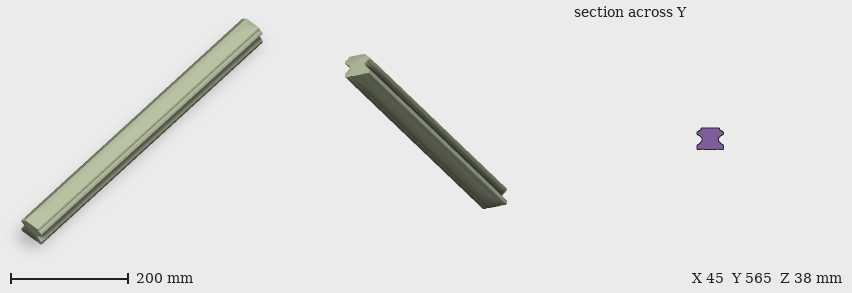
import cadquery as cq
import math

length = 565.0
width = 45.0
height = 38.0
half_width = width / 2

ridge_mid_z = 28.0
ridge_tip_half_height = 1.5
ridge_root_half_height = 4.5

groove_radius = 3.5
groove_center_x = 19.0
groove_center_offset = ridge_root_half_height + groove_radius
upper_groove_z = ridge_mid_z + groove_center_offset
lower_groove_z = ridge_mid_z - groove_center_offset

head_half_width = groove_center_x - groove_radius
head_chamfer = height - upper_groove_z

neck_half_width = 14.0
neck_bottom_z = 15.0
foot_top_z = 7.5
foot_chamfer = 1.0

relief_outer_x = 14.5
relief_inner_x = 8.5
relief_depth = 1.0


def groove_point(center_z, degrees):
    """Point on a ball groove at an angle counted from +X towards +Z."""
    angle = math.radians(degrees)
    return (
        groove_center_x + groove_radius * math.cos(angle),
        center_z + groove_radius * math.sin(angle),
    )


def half_section():
    """Right half of the cross-section, drawn from the top down to the foot."""
    return (
        cq.Workplane("XZ")
        .moveTo(0, height)
        .lineTo(head_half_width - head_chamfer, height)
        .lineTo(*groove_point(upper_groove_z, 180))
        .threePointArc(groove_point(upper_groove_z, 225), groove_point(upper_groove_z, 270))
        .lineTo(half_width, ridge_mid_z + ridge_tip_half_height)
        .lineTo(half_width, ridge_mid_z - ridge_tip_half_height)
        .lineTo(*groove_point(lower_groove_z, 90))
        .threePointArc(groove_point(lower_groove_z, 135), groove_point(lower_groove_z, 180))
        .lineTo(neck_half_width, lower_groove_z)
        .lineTo(neck_half_width, neck_bottom_z)
        .lineTo(half_width, foot_top_z)
        .lineTo(half_width, foot_chamfer)
        .lineTo(half_width - foot_chamfer, 0)
        .lineTo(relief_outer_x, 0)
        .lineTo(relief_outer_x, relief_depth)
        .lineTo(relief_inner_x, 0)
        .lineTo(0, 0)
        .close()
    )


half_rail = half_section().extrude(length / 2, both=True)
result = half_rail.union(half_rail.mirror("YZ"))